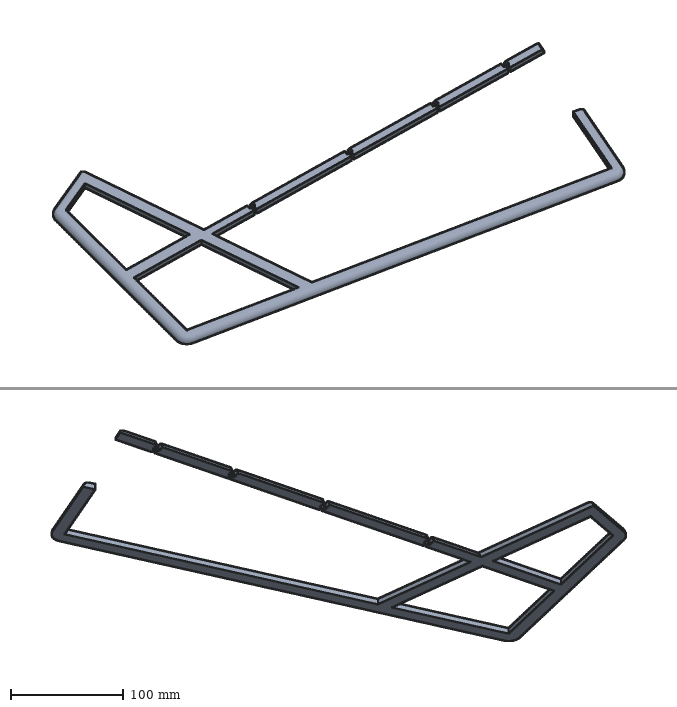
import cadquery as cq
import math

length = 471.5
thickness = 6.0
member_width = 12.0
edge_round = thickness

inner_bottom = member_width
inner_left = 31.0
inner_right = 211.0
left_lean = 25.0
rail_lean = 9.9
inner_top_right_x = 283.0
arm_length = 75.5

crossbar_angle = 20.0
crossbar_top_at_left = 51.0

mullion_left = 120.8
mullion_right = mullion_left + member_width
bevel_run = 3.5
gap_centers = [147.0, 255.5, 351.5, 430.0]
gap_wide = 5.5
gap_narrow = 2.5
gap_step = 7.5

lean_sin = math.sin(math.radians(rail_lean))
lean_cos = math.cos(math.radians(rail_lean))
lean_tan = math.tan(math.radians(rail_lean))
crossbar_tan = math.tan(math.radians(crossbar_angle))
crossbar_drop = member_width / math.cos(math.radians(crossbar_angle))

inner_top_right_y = (
    length - member_width / lean_cos - (inner_top_right_x - mullion_left) * lean_tan
)
bottom_left = (inner_left, inner_bottom)
bottom_right = (inner_right, inner_bottom)
top_right = (inner_top_right_x, inner_top_right_y)
far_left = -94.5
far_top = (far_left, inner_top_right_y + (inner_top_right_x - far_left) * lean_tan)
far_side = (
    far_left,
    inner_bottom + (inner_left - far_left) / math.tan(math.radians(left_lean)),
)


def plate(points):
    """Full-thickness plate with a polygonal outline."""
    return cq.Workplane("XY").polyline(points).close().extrude(thickness)


def box(x_min, x_max, y_min, y_max):
    return plate([(x_min, y_min), (x_max, y_min), (x_max, y_max), (x_min, y_max)])


def crossbar_top(x):
    return crossbar_top_at_left + x * crossbar_tan


def below_crossbar_edge(drop):
    """Everything below the crossbar's upper edge lowered by drop."""
    right = inner_top_right_x
    return plate([
        (far_left, -member_width),
        (right, -member_width),
        (right, crossbar_top(right) - drop),
        (far_left, crossbar_top(far_left) - drop),
    ])


inner_outline = [bottom_left, bottom_right, top_right, far_top, far_side]
opening = plate(inner_outline)
envelope = (
    cq.Workplane("XY").polyline(inner_outline).close()
    .offset2D(member_width, "arc")
    .extrude(2 * thickness)
    .translate((0, 0, -thickness))
    .faces(">Z").edges().fillet(edge_round)
    .copyWorkplane(cq.Workplane("XY"))
    .split(keepTop=True)
)


def make_mullion():
    """Whole mullion, vertical below the crossbar and with a sloping left face above it."""
    bar = envelope.intersect(box(mullion_left, mullion_right, 0, length + member_width))
    bevel = (
        cq.Workplane("XZ")
        .moveTo(mullion_left, 0)
        .lineTo(mullion_left + bevel_run, thickness)
        .lineTo(mullion_left, thickness)
        .close()
        .extrude(-(length + member_width))
        .cut(below_crossbar_edge(0))
    )
    return bar.cut(bevel)


mullion = make_mullion()


def mullion_between(lower_gap, upper_gap):
    """Stretch of mullion between two gap centers, with stepped ends at the gaps."""
    step_x = mullion_left + gap_step
    wide = box(mullion_left, step_x, lower_gap + gap_wide / 2, upper_gap - gap_wide / 2)
    narrow = box(step_x, mullion_right, lower_gap + gap_narrow / 2, upper_gap - gap_narrow / 2)
    return mullion.intersect(wide.union(narrow))


def make_frame():
    border = envelope.cut(opening)
    lower_part = below_crossbar_edge(0)
    arm_end = (
        inner_top_right_x - arm_length * lean_cos,
        inner_top_right_y + arm_length * lean_sin,
    )
    reach = 2 * member_width
    right_side = plate([
        (inner_right, 0),
        (inner_top_right_x + reach, 0),
        (inner_top_right_x + reach, length),
        (arm_end[0] + reach * lean_sin, arm_end[1] + reach * lean_cos),
        arm_end,
        top_right,
        bottom_right,
    ])
    rim = border.intersect(lower_part.union(right_side))
    crossbar = envelope.intersect(lower_part).cut(below_crossbar_edge(crossbar_drop))
    stub = mullion_between(-member_width, gap_centers[0])
    return rim.union(crossbar).union(stub)


frame = make_frame()

segment_limits = gap_centers + [length + member_width]
segments = [
    mullion_between(lower, upper)
    for lower, upper in zip(segment_limits, segment_limits[1:])
]

result = cq.Compound.makeCompound([frame.val(), *[segment.val() for segment in segments]])